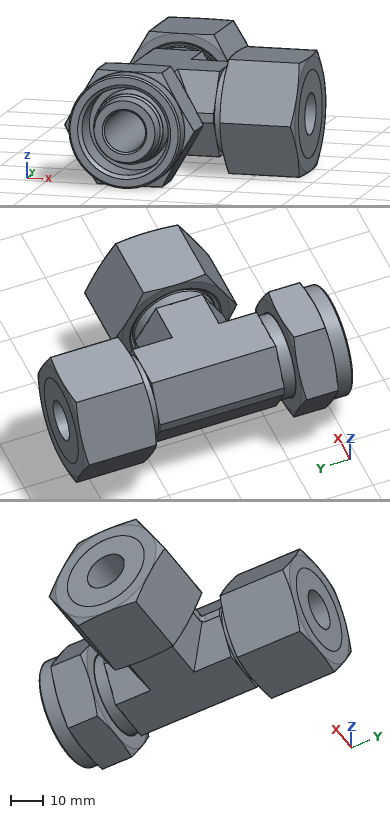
import cadquery as cq
import math

BAR_ACROSS_FLATS = 27.0
BAR_HALF_WIDTH = 14.7
BAR_FACE = 21.1
SWIVEL_BAR_FACE = 20.4
CROTCH_RADIUS = 1.1
BORE_RADIUS = 6.6
BORE_CHAMFER = 0.5
NECK_RADIUS = BAR_ACROSS_FLATS / 2

NUT_ACROSS_FLATS = 36.0
NUT_CORNER_ANGLE = 15
LONG_NUT_NEAR = 24.1
LONG_NUT_FAR = 48.1
THREAD_RADIUS = 13.8
COUNTERSINK_RADIUS = 14.9
COUNTERSINK_DEPTH = COUNTERSINK_RADIUS - THREAD_RADIUS
THREAD_RUNOUT = 0.45
THREAD_START = 24.8
NUT_LIP_RADIUS = 15.3
NUT_LIP_DEPTH = 0.23

SWIVEL_NUT_NEAR = 24.6
SWIVEL_HEX_LENGTH = 12.0
OVERALL_LENGTH = 90.2
SWIVEL_NUT_FAR = OVERALL_LENGTH - LONG_NUT_FAR
COLLAR_RADIUS = 17.9
COLLAR_CHAMFER = 0.5

NOSE_SHOULDER = 32.5
NOSE_TIP = 41.7
NOSE_TIP_RADIUS = 9.7
NOSE_CONE_ANGLE = 12
RING_SECTION_RADIUS = 1.2
RING_CENTRE_RADIUS = 9.9
RING_POSITION = 37.2


def to_plus_y(part):
    return part.rotate((0, 0, 0), (1, 0, 0), -90)


def to_minus_y(part):
    return part.rotate((0, 0, 0), (1, 0, 0), 90)


def to_plus_x(part):
    """Lay a part along +X so that its local X axis lies along Y."""
    return to_plus_y(part).rotate((0, 0, 0), (0, 0, 1), -90)


def hexagon(across_flats, start, end):
    """Hexagonal bar along Z whose corners lie on the X axis."""
    corner_diameter = across_flats / math.cos(math.radians(30))
    return cq.Workplane("XY").workplane(offset=start).polygon(6, corner_diameter).extrude(end - start)


def turned(profile):
    """Solid of revolution about Z from (radius, height) points."""
    return cq.Workplane("XZ").polyline(profile).close().revolve(360, (0, 0), (0, 1))


def cylinder(radius, start, end):
    return cq.Workplane("XY").workplane(offset=start).circle(radius).extrude(end - start)


def beveled_hexagon(start, end):
    """Nut hexagon with its corners turned down to the flats at both ends."""
    flat_radius = NUT_ACROSS_FLATS / 2
    outer_radius = NUT_ACROSS_FLATS / math.sqrt(3)
    drop = (outer_radius - flat_radius) * math.tan(math.radians(NUT_CORNER_ANGLE))
    envelope = turned([
        (0, start),
        (flat_radius, start),
        (outer_radius, start + drop),
        (outer_radius, end - drop),
        (flat_radius, end),
        (0, end),
    ])
    return hexagon(NUT_ACROSS_FLATS, start, end).intersect(envelope)


def bar(start, end):
    """Hexagonal bar along Z with its two side corners cut flat."""
    trim = cq.Workplane("XY").box(2 * BAR_HALF_WIDTH, BAR_ACROSS_FLATS, 2 * BAR_FACE)
    return hexagon(BAR_ACROSS_FLATS, start, end).intersect(trim)


def threaded_stub():
    """Neck and threaded end of the body, up to the outer face of its nut."""
    return turned([
        (0, 0),
        (NECK_RADIUS, 0),
        (NECK_RADIUS, THREAD_START),
        (THREAD_RADIUS, THREAD_START + THREAD_RUNOUT),
        (THREAD_RADIUS, LONG_NUT_FAR),
        (0, LONG_NUT_FAR),
    ])


def sealing_ring():
    return (
        cq.Workplane("XZ")
        .center(RING_CENTRE_RADIUS, RING_POSITION)
        .circle(RING_SECTION_RADIUS)
        .revolve(360, (-RING_CENTRE_RADIUS, 0), (-RING_CENTRE_RADIUS, 1))
    )


def swivel_nose():
    """Neck, shoulder and cone inside the swivel nut, with a groove for the sealing ring."""
    base_radius = NOSE_TIP_RADIUS + (NOSE_TIP - NOSE_SHOULDER) * math.tan(math.radians(NOSE_CONE_ANGLE))
    nose = turned([
        (0, 0),
        (NECK_RADIUS, 0),
        (NECK_RADIUS, SWIVEL_NUT_NEAR),
        (THREAD_RADIUS, SWIVEL_NUT_NEAR),
        (THREAD_RADIUS, NOSE_SHOULDER),
        (base_radius, NOSE_SHOULDER),
        (NOSE_TIP_RADIUS, NOSE_TIP),
        (0, NOSE_TIP),
    ])
    return nose.cut(sealing_ring())


def tee_bars():
    """The two crossing bars, with the side corners between them rounded."""
    bars = to_minus_y(bar(-BAR_FACE, SWIVEL_BAR_FACE)).union(to_plus_x(bar(0, BAR_FACE)))
    for side in (-1, 1):
        crotch = cq.selectors.NearestToPointSelector((BAR_HALF_WIDTH, side * BAR_HALF_WIDTH, 0))
        bars = bars.edges("|Z").edges(crotch).fillet(CROTCH_RADIUS)
    return bars


def tee_bores():
    """Through bore of the run, chamfered at the nose, and the bore of the branch."""
    run_bore = cylinder(BORE_RADIUS, -LONG_NUT_FAR, NOSE_TIP)
    bore_mouth = turned([
        (0, NOSE_TIP - BORE_CHAMFER),
        (BORE_RADIUS, NOSE_TIP - BORE_CHAMFER),
        (BORE_RADIUS + BORE_CHAMFER, NOSE_TIP),
        (0, NOSE_TIP),
    ])
    branch_bore = cylinder(BORE_RADIUS, 0, LONG_NUT_FAR)
    return to_minus_y(run_bore.union(bore_mouth)).union(to_plus_x(branch_bore))


def tee_body():
    body = tee_bars()
    body = body.union(to_plus_y(threaded_stub()))
    body = body.union(to_plus_x(threaded_stub()))
    body = body.union(to_minus_y(swivel_nose()))
    return body.cut(tee_bores())


def long_nut():
    countersink_start = LONG_NUT_NEAR + NUT_LIP_DEPTH
    opening = turned([
        (0, LONG_NUT_NEAR),
        (NUT_LIP_RADIUS, LONG_NUT_NEAR),
        (COUNTERSINK_RADIUS, countersink_start),
        (THREAD_RADIUS, countersink_start + COUNTERSINK_DEPTH),
        (THREAD_RADIUS, LONG_NUT_FAR),
        (0, LONG_NUT_FAR),
    ])
    return beveled_hexagon(LONG_NUT_NEAR, LONG_NUT_FAR).cut(opening)


def swivel_nut():
    collar = cylinder(COLLAR_RADIUS, SWIVEL_NUT_NEAR, SWIVEL_NUT_FAR).faces(">Z").chamfer(COLLAR_CHAMFER)
    opening = turned([
        (0, SWIVEL_NUT_NEAR),
        (THREAD_RADIUS, SWIVEL_NUT_NEAR),
        (THREAD_RADIUS, SWIVEL_NUT_FAR - COUNTERSINK_DEPTH),
        (COUNTERSINK_RADIUS, SWIVEL_NUT_FAR),
        (0, SWIVEL_NUT_FAR),
    ])
    hexagon_part = beveled_hexagon(SWIVEL_NUT_NEAR, SWIVEL_NUT_NEAR + SWIVEL_HEX_LENGTH)
    return hexagon_part.union(collar).cut(opening)


body = tee_body()
long_nuts = [place(long_nut()) for place in (to_plus_y, to_plus_x)]
end_nut = to_minus_y(swivel_nut())
nose_ring = to_minus_y(sealing_ring())

result = cq.Compound.makeCompound([
    body.val(),
    *[nut.val() for nut in long_nuts],
    end_nut.val(),
    nose_ring.val(),
])